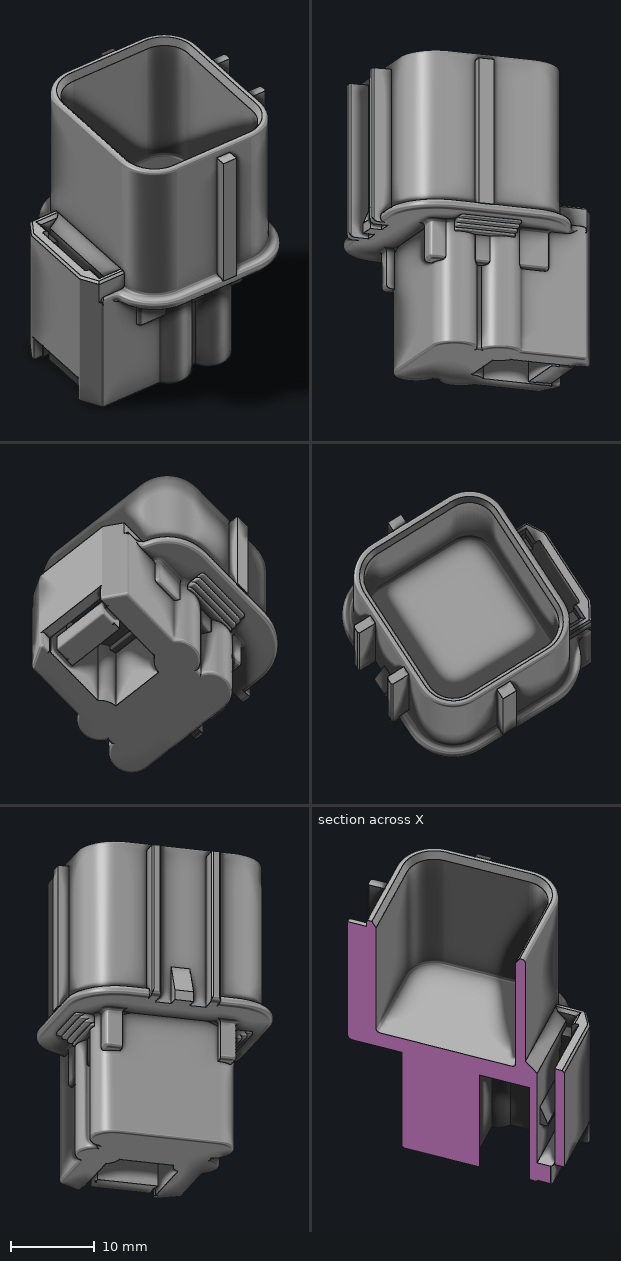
import cadquery as cq

EDGE_MARGIN = 0.05
OVERLAP = 0.35

HEIGHT = 35.5
FLANGE_BOTTOM = 15.4
FLANGE_TOP = 16.65
LATCH_TOP = 19.1
RIB_TOP = 34.47

CORNER_X = 6.7
CORNER_Y = 5.4
HOUSING_RADIUS = 4.75
RIM_FILLET = 0.43
RIM_WALL = 0.75
MOUTH_INSET = 0.55
MOUTH_DEPTH = 0.9
MOUTH_RADIUS = HOUSING_RADIUS - RIM_WALL
CAVITY_RADIUS = MOUTH_RADIUS - MOUTH_INSET
FLOOR_FILLET = 0.5
CAVITY_FLOOR = 17.75
HOUSING_FRONT = -(CORNER_Y + HOUSING_RADIUS)

FLANGE_RADIUS = 6.15
FLANGE_TOP_FILLET = 0.57
FLANGE_BOTTOM_FILLET = 0.55
ROOT_FILLET = 0.5
APRON_FILLET = 1.05

HALF_WIDTH = CORNER_X + FLANGE_RADIUS
SIDE_RIB_BOTTOM = 16.5
SIDE_RIB_Y = (0.35, 2.27)
REAR_RIB_X = (3.15, 4.3)
REAR_RIB_END = 12.55
REAR_RIB_FILLET = 0.7
REAR_RIB_CHAMFER = 0.18
REAR_BUMP_WIDTH = 2.35
REAR_BUMP_END = 11.6
REAR_BUMP_HEIGHT = 4.25

TOWER_RADIUS = 2.77
TOWER_X = 6.15
TOWER_Y = (2.85, -2.9)
TOWER_BACK = TOWER_Y[0] + TOWER_RADIUS
CREVICE_X = 7.15
BOTTOM_FILLET = 0.35
JOINT_FILLET = 0.3

BLOCK_FRONT = -15.12
BLOCK_SHOULDER = -13.55
BLOCK_HALF = 7.67
BLOCK_TOP_HALF = 7.25
BLOCK_FRONT_HALF = 5.0
BLOCK_EDGE_FILLET = 0.35
BLOCK_TOP_CHAMFER = 0.3

WELL_HALF = 6.18
WELL_FRONT = -12.95
WELL_FLOOR = 16.7
WELL_CHAMFER = 0.4
RAMP_DEPTH = 1.5
WELL_BACK = HOUSING_FRONT - RAMP_DEPTH
SLOT_HALF = 4.5
SLOT_FRONT = -13.88
SLOT_BACK = -3.2
SLOT_ROOF = 14.9
SLOT_CORNER = 0.2
NOTCH_FILLET = 0.3
NOTCH_HEIGHT = 3.48
ARM_HALF = 3.75
ARM_BACK = -10.65
TAB_FRONT = -13.6
TAB_HEIGHT = 3.12
TAB_CORNER = 0.3
TAB_BOTTOM_FILLET = 0.25
HOOK_HALF = 2.8
HOOK_FRONT = -12.65
HOOK_BOTTOM = 8.52
HOOK_LAND = 0.35
HOOK_TOP = 11.35

GUSSET_HALF = 8.2
GUSSET_BOTTOM = 10.45
GUSSET_FILLET = 0.55
FLARE_FILLET = 0.5
GUSSET_Y = ((4.55, 6.65), (-1.0, 0.92), (-8.7, -4.6))
BRACE_Y = (-3.98, 3.8)
BRACE_BOTTOM = 13.9
BRACE_HALF = 9.12
BRACE_STEP_X = 0.67
BRACE_STEP_Z = 0.4
BRACE_STEPS = 4
BRACE_CORNER = 0.4
BRACE_EDGE = 0.18


def box(x_range, y_range, z_range):
    """Box between the given limits."""
    size = [high - low for low, high in (x_range, y_range, z_range)]
    corner = (x_range[0], y_range[0], z_range[0])
    return cq.Workplane("XY").box(*size, centered=False).translate(corner)


def rounded_block(radius, bottom, top):
    """Rounded rectangle on the shared corner centres, extruded from bottom to top."""
    width = 2 * (CORNER_X + radius)
    depth = 2 * (CORNER_Y + radius)
    block = cq.Workplane("XY", origin=(0, 0, bottom)).rect(width, depth).extrude(top - bottom)
    return block.edges("|Z").fillet(radius)


def with_mirror(solid):
    """Solid joined with its mirror image across X = 0."""
    return solid.union(solid.mirror("YZ"))


def flared(post):
    """Post with a fillet spreading where it meets the flange underside."""
    bounds = post.val().BoundingBox()
    rim = 2 * FLARE_FILLET
    plate = box(
        (bounds.xmin - rim, bounds.xmax + rim),
        (bounds.ymin - rim, bounds.ymax + rim),
        (FLANGE_BOTTOM, FLANGE_BOTTOM + OVERLAP),
    )
    joint = cq.selectors.BoxSelector(
        (bounds.xmin - EDGE_MARGIN, bounds.ymin - EDGE_MARGIN, FLANGE_BOTTOM - EDGE_MARGIN),
        (bounds.xmax + EDGE_MARGIN, bounds.ymax + EDGE_MARGIN, FLANGE_BOTTOM + EDGE_MARGIN),
        boundingbox=True,
    )
    return post.union(plate).edges(joint).fillet(FLARE_FILLET)


def make_shroud():
    """Housing with its flange; the flange runs into the latch block and is open between the rear ribs."""
    housing = rounded_block(HOUSING_RADIUS, FLANGE_BOTTOM, HEIGHT)
    housing = housing.faces(">Z").edges().fillet(RIM_FILLET)
    flange = rounded_block(FLANGE_RADIUS, FLANGE_BOTTOM, FLANGE_TOP)
    apron = box((-BLOCK_HALF, BLOCK_HALF), (BLOCK_SHOULDER, 0), (FLANGE_BOTTOM, FLANGE_TOP))
    apron_corners = cq.selectors.BoxSelector(
        (-BLOCK_HALF - EDGE_MARGIN, BLOCK_SHOULDER + EDGE_MARGIN, FLANGE_BOTTOM),
        (BLOCK_HALF + EDGE_MARGIN, HOUSING_FRONT, FLANGE_TOP),
    )
    flange = flange.union(apron).edges("|Z").edges(apron_corners).fillet(APRON_FILLET)
    flange = flange.faces(">Z").edges().fillet(FLANGE_TOP_FILLET)
    flange = flange.faces("<Z").edges().fillet(FLANGE_BOTTOM_FILLET)
    shroud = housing.union(flange)
    housing_half = CORNER_X + HOUSING_RADIUS + EDGE_MARGIN
    root_edges = cq.selectors.BoxSelector(
        (-housing_half, -housing_half, FLANGE_TOP - EDGE_MARGIN),
        (housing_half, housing_half, FLANGE_TOP + EDGE_MARGIN),
        boundingbox=True,
    )
    shroud = shroud.edges(root_edges).fillet(ROOT_FILLET)
    rear_gap = box(
        (-REAR_RIB_X[0], REAR_RIB_X[0]),
        (-HOUSING_FRONT, REAR_RIB_END),
        (FLANGE_BOTTOM, FLANGE_TOP + ROOT_FILLET),
    )
    return shroud.cut(rear_gap)


def make_cavity():
    """Open cavity with a tapered mouth and a rounded floor edge."""
    cavity = rounded_block(CAVITY_RADIUS, CAVITY_FLOOR, HEIGHT)
    cavity = cavity.faces("<Z").edges().fillet(FLOOR_FILLET)
    mouth = rounded_block(MOUTH_RADIUS, HEIGHT - MOUTH_DEPTH, HEIGHT + OVERLAP)
    mouth = mouth.faces("<Z").edges().chamfer(MOUTH_DEPTH, MOUTH_INSET)
    return cavity.union(mouth)


def make_guide_ribs():
    """One rib on each side, a pair at the rear and a low ramped bump between that pair."""
    side = box((CORNER_X + CAVITY_RADIUS + OVERLAP, HALF_WIDTH), SIDE_RIB_Y, (SIDE_RIB_BOTTOM, RIB_TOP))
    rear = box(REAR_RIB_X, (CORNER_Y + CAVITY_RADIUS + OVERLAP, REAR_RIB_END), (FLANGE_BOTTOM, RIB_TOP))
    rear = rear.edges(">Y and |Z").chamfer(REAR_RIB_CHAMFER)
    rear = rear.edges("<Z and >Y").fillet(REAR_RIB_FILLET)
    bump = (
        cq.Workplane("YZ")
        .polyline([
            (-HOUSING_FRONT - OVERLAP, FLANGE_BOTTOM),
            (REAR_BUMP_END, FLANGE_BOTTOM),
            (REAR_BUMP_END, FLANGE_TOP),
            (-HOUSING_FRONT - OVERLAP, FLANGE_TOP + REAR_BUMP_HEIGHT),
        ])
        .close()
        .extrude(REAR_BUMP_WIDTH / 2, both=True)
    )
    return with_mirror(side.union(rear)).union(bump)


def make_towers():
    """Four terminal towers with the solid core between them."""
    top = FLANGE_BOTTOM + OVERLAP
    towers = cq.Workplane("XY")
    for y in TOWER_Y:
        tower = cq.Workplane("XY").center(TOWER_X, y).circle(TOWER_RADIUS).extrude(top)
        towers = towers.add(with_mirror(tower))
    towers = towers.combine()
    core = box((-TOWER_X, TOWER_X), (SLOT_BACK, TOWER_BACK), (0, top))
    web = box((-CREVICE_X, CREVICE_X), (TOWER_Y[1], TOWER_Y[0]), (0, top))
    return towers.union(core).union(web)


def make_tower_flares():
    """Filleted roots where the towers meet the flange."""
    root_height = 2 * FLARE_FILLET + OVERLAP
    root_bottom = FLANGE_BOTTOM - 2 * FLARE_FILLET
    flares = cq.Workplane("XY")
    for y in TOWER_Y:
        root = cq.Workplane("XY", origin=(TOWER_X, y, root_bottom)).circle(TOWER_RADIUS).extrude(root_height)
        flares = flares.add(with_mirror(flared(root)))
    return flares.combine()


def make_latch_block():
    """Solid latch block with angled front corners, narrower above the flange."""
    outline = [
        (-BLOCK_HALF, TOWER_Y[1]),
        (-BLOCK_HALF, BLOCK_SHOULDER),
        (-BLOCK_FRONT_HALF, BLOCK_FRONT),
        (BLOCK_FRONT_HALF, BLOCK_FRONT),
        (BLOCK_HALF, BLOCK_SHOULDER),
        (BLOCK_HALF, TOWER_Y[1]),
    ]
    block = cq.Workplane("XY").polyline(outline).close().extrude(LATCH_TOP)
    shoulder_edges = cq.selectors.BoxSelector(
        (-BLOCK_HALF - EDGE_MARGIN, BLOCK_FRONT - EDGE_MARGIN, 0),
        (BLOCK_HALF + EDGE_MARGIN, BLOCK_SHOULDER + EDGE_MARGIN, LATCH_TOP),
    )
    block = block.edges("|Z").edges(shoulder_edges).fillet(BLOCK_EDGE_FILLET)
    shoulder = FLANGE_TOP - FLANGE_TOP_FILLET
    trim = box((BLOCK_TOP_HALF, BLOCK_HALF), (BLOCK_FRONT, TOWER_Y[1]), (shoulder, LATCH_TOP))
    block = block.cut(with_mirror(trim))
    return block.faces(">Z").edges("not >Y").chamfer(BLOCK_TOP_CHAMFER)


def make_latch_well():
    """Open well at the block top: chamfered rim and a 45 degree ramp on the housing side."""
    well = box((-WELL_HALF, WELL_HALF), (WELL_FRONT, WELL_BACK), (WELL_FLOOR, LATCH_TOP))
    ramp = (
        cq.Workplane("YZ")
        .polyline([
            (HOUSING_FRONT, LATCH_TOP),
            (WELL_BACK, LATCH_TOP),
            (WELL_BACK, LATCH_TOP - RAMP_DEPTH),
        ])
        .close()
        .extrude(WELL_HALF, both=True)
    )
    rim_front = WELL_FRONT - WELL_CHAMFER
    lead_in = (
        cq.Workplane("XY", origin=(0, 0, LATCH_TOP))
        .rect(2 * (WELL_HALF + WELL_CHAMFER), -2 * rim_front)
        .extrude(-WELL_CHAMFER, taper=45)
    )
    rim_bottom = LATCH_TOP - WELL_CHAMFER
    rim_zone = (
        cq.Workplane("YZ")
        .polyline([
            (BLOCK_FRONT, LATCH_TOP),
            (HOUSING_FRONT, LATCH_TOP),
            (HOUSING_FRONT - WELL_CHAMFER, rim_bottom),
            (BLOCK_FRONT, rim_bottom),
        ])
        .close()
        .extrude(BLOCK_HALF, both=True)
    )
    return well.union(ramp).union(lead_in.intersect(rim_zone))


def make_latch_slot():
    """Slot through the block, roofed behind the well, with the notch in the front wall."""
    open_slot = box((-SLOT_HALF, SLOT_HALF), (SLOT_FRONT, WELL_BACK), (0, LATCH_TOP))
    open_slot = open_slot.edges("|Z and <Y").fillet(SLOT_CORNER)
    roofed_slot = box((-SLOT_HALF, SLOT_HALF), (WELL_BACK, SLOT_BACK), (0, SLOT_ROOF))
    notch = box((-SLOT_HALF, SLOT_HALF), (BLOCK_FRONT, SLOT_FRONT), (0, NOTCH_HEIGHT))
    return open_slot.union(roofed_slot).union(notch)


def make_latch_arm():
    """Arm hanging from the slot roof, with a hook and a press tab at its free end."""
    arm = box((-ARM_HALF, ARM_HALF), (WELL_BACK, ARM_BACK), (0, SLOT_ROOF + OVERLAP))
    tab = box((-ARM_HALF, ARM_HALF), (TAB_FRONT, ARM_BACK), (0, TAB_HEIGHT))
    tab = tab.edges("|Z and <Y").fillet(TAB_CORNER)
    tab = tab.faces("<Z").edges("<Y").fillet(TAB_BOTTOM_FILLET)
    hook = (
        cq.Workplane("YZ")
        .polyline([
            (ARM_BACK, HOOK_BOTTOM),
            (HOOK_FRONT, HOOK_BOTTOM),
            (HOOK_FRONT, HOOK_BOTTOM + HOOK_LAND),
            (WELL_BACK, HOOK_TOP),
            (ARM_BACK, HOOK_TOP),
        ])
        .close()
        .extrude(HOOK_HALF, both=True)
    )
    return arm.union(tab).union(hook)


def make_gussets():
    """Three gussets on each side; only the outermost ones have a rounded outer corner."""
    rounded_sides = (">Y", None, "<Y")
    gussets = cq.Workplane("XY")
    for y_range, rounded_side in zip(GUSSET_Y, rounded_sides):
        gusset = box((TOWER_X, GUSSET_HALF), y_range, (GUSSET_BOTTOM, FLANGE_BOTTOM + OVERLAP))
        if rounded_side:
            gusset = gusset.edges(f"|Z and >X and {rounded_side}").fillet(GUSSET_FILLET)
        gusset = gusset.faces("<Z").edges("not <X").fillet(GUSSET_FILLET - EDGE_MARGIN)
        gussets = gussets.add(with_mirror(flared(gusset)))
    return gussets.combine()


def make_braces():
    """Stack of blocks that widens in steps toward the flange."""
    braces = cq.Workplane("XY")
    for step in range(BRACE_STEPS):
        half = BRACE_HALF + step * BRACE_STEP_X
        bottom = BRACE_BOTTOM + step * BRACE_STEP_Z
        brace = box((-half, half), BRACE_Y, (bottom, FLANGE_BOTTOM + OVERLAP))
        brace = brace.edges("|Z").fillet(BRACE_CORNER).faces("<Z").edges().fillet(BRACE_EDGE)
        braces = braces.add(brace)
    return braces.combine()


def make_lower_body():
    """Towers and latch block with their outer bottom edge rounded."""
    body = make_towers().union(make_latch_block())
    tower_joints = cq.selectors.BoxSelector(
        (-BLOCK_HALF - EDGE_MARGIN, TOWER_Y[1] - TOWER_RADIUS, 0),
        (BLOCK_HALF + EDGE_MARGIN, SLOT_BACK - EDGE_MARGIN, FLANGE_BOTTOM),
    )
    body = body.edges("|Z").edges(tower_joints).fillet(JOINT_FILLET)
    return body.faces("<Z").edges().fillet(BOTTOM_FILLET)


def cut_latch(solid):
    """Hollow the latch block, leaving the towers standing in the hollow, and hang the arm in it."""
    hollow = make_latch_slot().cut(make_towers()).union(make_latch_well())
    solid = solid.cut(hollow)
    notch_edges = cq.selectors.BoxSelector(
        (-SLOT_HALF - EDGE_MARGIN, BLOCK_FRONT - EDGE_MARGIN, BOTTOM_FILLET),
        (SLOT_HALF + EDGE_MARGIN, BLOCK_FRONT + EDGE_MARGIN, NOTCH_HEIGHT - EDGE_MARGIN),
    )
    solid = solid.edges("|Z").edges(notch_edges).fillet(NOTCH_FILLET)
    return solid.union(make_latch_arm())


shell = make_shroud().union(make_guide_ribs())
underside = make_gussets().union(make_tower_flares()).union(make_braces())
result = cut_latch(make_lower_body().union(shell)).union(underside).cut(make_cavity())